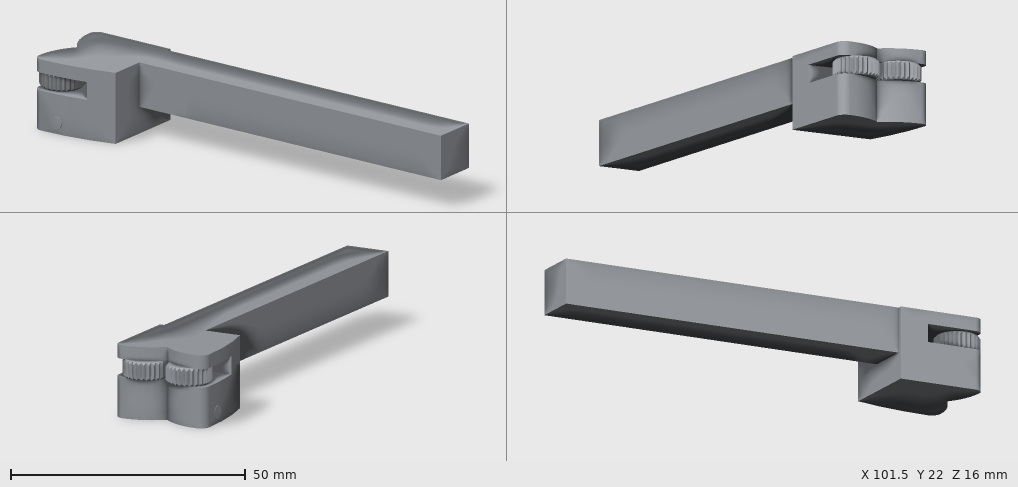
import math

import cadquery as cq


HEAD_LENGTH = 20.0
HEAD_HALF_WIDTH = 11.0
HEAD_HEIGHT = 16.0
CORNER_RADIUS = 2.0
NOTCH_DEPTH = 3.4
BACK_HALF_WIDTH = 8.5

SLOT_DEPTH = 13.5
SLOT_HEIGHT = 4.0
TOP_PLATE = 3.0
SLOT_BASE = HEAD_HEIGHT - TOP_PLATE - SLOT_HEIGHT

TOOL_LENGTH = 100.0
SHANK_SIZE = 10.0

WHEEL_RADIUS = 5.0
WHEEL_X = 3.5
WHEEL_OFFSET = 5.25
WHEEL_POSITIONS = (WHEEL_OFFSET, -WHEEL_OFFSET)
TOOTH_COUNT = 27
TOOTH_DEPTH = 0.55
WHEEL_CHAMFER = 0.6

PIN_DIAMETER = 4.0
SHANK_PIN_POSITIONS = (35.0, 70.0)
SIDE_PIN_DIAMETER = 3.0
SIDE_PIN_LENGTH = 5.0
SIDE_PIN_X = 5.9
SIDE_PIN_Z = 2.5


def make_head():
    """Block with rounded front corners, two bulging cheeks that meet in a notch, and a curved -Y flank."""
    cheek_end = HEAD_HALF_WIDTH - CORNER_RADIUS
    cheek_radius = (NOTCH_DEPTH**2 + cheek_end**2) / (2 * NOTCH_DEPTH)
    outline = (
        cq.Workplane("XY")
        .moveTo(HEAD_LENGTH, HEAD_HALF_WIDTH)
        .lineTo(CORNER_RADIUS, HEAD_HALF_WIDTH)
        .radiusArc((0, cheek_end), -CORNER_RADIUS)
        .radiusArc((NOTCH_DEPTH, 0), -cheek_radius)
        .radiusArc((0, -cheek_end), -cheek_radius)
        .radiusArc((CORNER_RADIUS, -HEAD_HALF_WIDTH), -CORNER_RADIUS)
        .tangentArcPoint((HEAD_LENGTH, -BACK_HALF_WIDTH), relative=False)
        .close()
    )
    return outline.extrude(HEAD_HEIGHT)


def make_slot():
    """Space for the wheels, open at the front and on both sides of the head."""
    return cq.Workplane("XY", origin=(0, 0, SLOT_BASE)).box(
        SLOT_DEPTH, 2 * HEAD_HALF_WIDTH, SLOT_HEIGHT, centered=(False, True, False)
    )


def make_shank():
    """Square bar behind the head."""
    return cq.Workplane("XY", origin=(HEAD_LENGTH, 0, HEAD_HEIGHT - SHANK_SIZE)).box(
        TOOL_LENGTH - HEAD_LENGTH, SHANK_SIZE, SHANK_SIZE, centered=False
    )


def upright_pin(x, y, length):
    """Pin whose upper end is flush with the top of the tool."""
    return (
        cq.Workplane("XY", origin=(x, y, HEAD_HEIGHT - length))
        .circle(PIN_DIAMETER / 2)
        .extrude(length)
    )


def side_pin():
    """Flat-ended pin that stands slightly proud of the curved flank."""
    return (
        cq.Workplane("XZ", origin=(SIDE_PIN_X, SIDE_PIN_LENGTH - HEAD_HALF_WIDTH, SIDE_PIN_Z))
        .circle(SIDE_PIN_DIAMETER / 2)
        .extrude(SIDE_PIN_LENGTH)
    )


def make_holder():
    """Slotted head and square shank, with the wheel axles and the other pins built in."""
    holder = make_head().cut(make_slot()).union(make_shank())
    axles = [upright_pin(WHEEL_X, y, HEAD_HEIGHT) for y in WHEEL_POSITIONS]
    shank_pins = [upright_pin(x, SHANK_SIZE / 2, SHANK_SIZE) for x in SHANK_PIN_POSITIONS]
    for pin in [*axles, *shank_pins, side_pin()]:
        holder = holder.union(pin, clean=False)
    return holder


def tooth_outline():
    """Pointed teeth evenly spaced round the wheel, the first one pointing along -Y."""
    points = []
    for i in range(2 * TOOTH_COUNT):
        radius = WHEEL_RADIUS if i % 2 == 0 else WHEEL_RADIUS - TOOTH_DEPTH
        angle = -math.pi / 2 + i * math.pi / TOOTH_COUNT
        points.append((radius * math.cos(angle), radius * math.sin(angle)))
    return cq.Workplane("XY").polyline(points).close()


def make_wheel(y):
    """Chamfered, toothed wheel that fills the slot height and is bored to fit its axle."""
    disc = cq.Workplane("XY").circle(WHEEL_RADIUS).extrude(SLOT_HEIGHT)
    blank = disc.faces("<Z or >Z").chamfer(WHEEL_CHAMFER)
    bore = cq.Workplane("XY").circle(PIN_DIAMETER / 2).extrude(SLOT_HEIGHT)
    wheel = blank.intersect(tooth_outline().extrude(SLOT_HEIGHT)).cut(bore)
    return wheel.translate((WHEEL_X, y, SLOT_BASE))


holder = make_holder()
wheels = [make_wheel(y) for y in WHEEL_POSITIONS]

result = cq.Compound.makeCompound([
    *holder.solids().vals(),
    *[wheel.solids().val() for wheel in wheels],
])